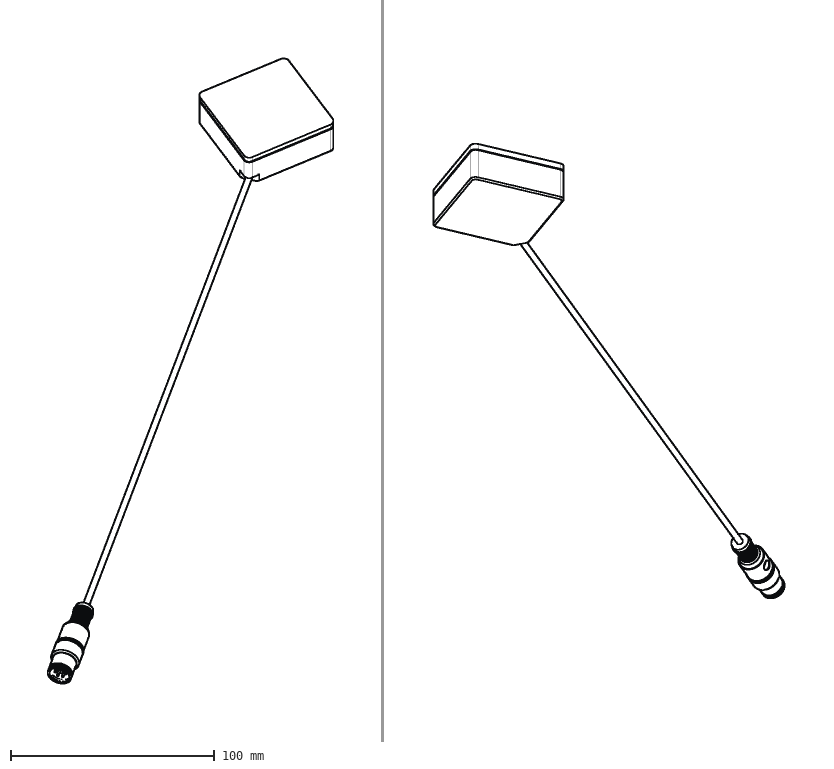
import cadquery as cq
import math


half_span = 146.7
top_z = 24.7

box_side = 50.0
box_height = 20.3
corner_radius = 3.0
bottom_chamfer = 1.0
lid_thickness = 3.5
seam_width = 0.3
seam_depth = 0.3
outlet_depth = 5.0
outlet_height = 5.3

cable_diameter = 3.2
ring_diameter = 14.5
nose_diameter = 12.0
body_diameter = 13.8
collar_front_diameter = 13.0
collar_rear_diameter = 11.2
boot_diameter = 9.0
boot_flange_diameter = 10.0
boot_core_diameter = 8.0

nose_length = 9.5
ring_length = 9.5
body_length = 11.2
collar_length = 2.3
boot_length = 13.2

rib_count = 7
flange_offset = 2.3
flange_width = 1.0

ring_chamfer = 1.0
ring_groove_diameter = 13.0
ring_groove_width = 1.2
ring_groove_offset = 0.5

tip_groove_offset = 1.2
tip_groove_width = 1.2
tip_groove_diameter = 11.2
socket_diameter = 10.0
socket_depth = 6.0
pin_diameter = 1.0
pin_length = 4.5
pin_root_length = 1.8
pin_circle_diameter = 5.0
pin_count = 6

mark_diameter = 5.0
mark_depth = 0.5
mark_angle = -23.0

box_bottom_z = top_z - box_height
box_centre = half_span - box_side / 2
axis_z = ring_diameter / 2
tip_xy = half_span - nose_diameter / 2 * math.sqrt(0.5)
box_corner_xy = half_span - box_side
ring_start = nose_length
body_start = ring_start + ring_length
collar_start = body_start + body_length
boot_start = collar_start + collar_length
plug_end = boot_start + boot_length
cable_end = (tip_xy + box_corner_xy) * math.sqrt(2) + outlet_depth

back = cq.Vector(-1, 1, 0).normalized()
sideways = cq.Vector(-1, -1, 0).normalized()
tip = cq.Vector(tip_xy, -tip_xy, axis_z)


def section_plane(distance):
    """Plane across the plug axis, the given distance back from the tip."""
    return cq.Plane(origin=tip + back * distance, xDir=sideways, normal=back)


def rod(start, length, diameter):
    return cq.Workplane(section_plane(start)).circle(diameter / 2).extrude(length)


def ring_groove(start, width, outer_diameter, floor_diameter):
    """Cutter for a groove around the plug."""
    return (
        cq.Workplane(section_plane(start))
        .circle(outer_diameter / 2)
        .circle(floor_diameter / 2)
        .extrude(width)
    )


def make_box():
    box = (
        cq.Workplane("XY")
        .box(box_side, box_side, box_height, centered=(True, True, False))
        .edges("|Z").fillet(corner_radius)
        .faces("<Z").chamfer(bottom_chamfer)
    )
    seam_core = (
        cq.Workplane("XY")
        .rect(box_side - 2 * seam_depth, box_side - 2 * seam_depth)
        .extrude(seam_width)
        .edges("|Z").fillet(corner_radius - seam_depth)
    )
    seam = cq.Workplane("XY").rect(box_side, box_side).extrude(seam_width).cut(seam_core)
    box = box.cut(seam.translate((0, 0, box_height - lid_thickness)))
    leg = outlet_depth * math.sqrt(2)
    outlet = (
        cq.Workplane("XY")
        .moveTo(box_side / 2, -box_side / 2)
        .line(0, leg)
        .line(-leg, -leg)
        .close()
        .extrude(outlet_height)
    )
    return box.cut(outlet).translate((-box_centre, box_centre, box_bottom_z))


def make_boot():
    boot = rod(boot_start, boot_length, boot_diameter)
    flange_start = plug_end - flange_offset - flange_width
    rib_pitch = (flange_start - boot_start) / rib_count
    for i in range(rib_count):
        start = boot_start + i * rib_pitch
        boot = boot.cut(ring_groove(start, rib_pitch / 2, boot_diameter, boot_core_diameter))
    return boot.union(rod(flange_start, flange_width, boot_flange_diameter))


def make_ring():
    ring = rod(ring_start, ring_length, ring_diameter)
    front_rim = cq.selectors.DirectionMinMaxSelector(back, directionMax=False)
    ring = ring.faces(front_rim).chamfer(ring_chamfer)
    groove_start = body_start - ring_groove_offset - ring_groove_width
    return ring.cut(ring_groove(groove_start, ring_groove_width, ring_diameter, ring_groove_diameter))


def make_collar():
    """Cone from the body down towards the boot."""
    return (
        cq.Workplane(section_plane(collar_start))
        .circle(collar_front_diameter / 2)
        .workplane(offset=collar_length)
        .circle(collar_rear_diameter / 2)
        .loft()
    )


def make_body():
    body = rod(body_start, body_length, body_diameter)
    angle = math.radians(mark_angle)
    outward = sideways * math.cos(angle) + cq.Vector(0, 0, math.sin(angle))
    middle = tip + back * (body_start + body_length / 2)
    floor = middle + outward * (body_diameter / 2 - mark_depth)
    mark = (
        cq.Workplane(cq.Plane(origin=floor, xDir=back, normal=outward))
        .circle(mark_diameter / 2)
        .extrude(mark_diameter)
    )
    return body.cut(mark)


def make_nose():
    nose = rod(0, nose_length, nose_diameter)
    nose = nose.cut(ring_groove(tip_groove_offset, tip_groove_width, nose_diameter, tip_groove_diameter))
    nose = nose.cut(rod(0, socket_depth, socket_diameter))
    pins = (
        cq.Workplane(section_plane(socket_depth - pin_length))
        .polarArray(pin_circle_diameter / 2, 0, 360, pin_count)
        .circle(pin_diameter / 2)
        .extrude(pin_length + pin_root_length)
    )
    return nose.union(pins)


result = (
    make_box()
    .union(rod(boot_start, cable_end - boot_start, cable_diameter))
    .union(make_boot())
    .union(make_collar())
    .union(make_body())
    .union(make_ring())
    .union(make_nose())
)